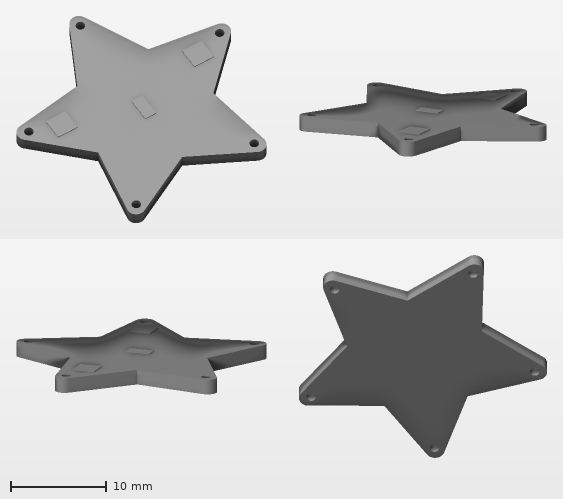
import cadquery as cq
import math

span_y = 26.25
total_height = 1.68
pad_thickness = 0.1
board_thickness = total_height - pad_thickness

point_count = 5
tip_radius = 1.0
notch_distance = 7.5
sector_angle = 360 / point_count
tip_center_distance = (span_y / 2 - tip_radius) / math.sin(math.radians(sector_angle))

hole_diameter = 1.0
hole_distance = 12.45

square_pad_side = 2.41
square_pad_x = -2.75
square_pad_y = 8.45
center_pad_length = 2.68
center_pad_width = 1.36


def polar(distance, angle):
    """Point at a distance from the star centre, with the angle in degrees."""
    return (distance * math.cos(math.radians(angle)), distance * math.sin(math.radians(angle)))


def tip_tangent_angle():
    """Angle, seen from a tip centre, between the tip axis and the point where a straight side begins."""
    half_sector = math.radians(sector_angle / 2)
    along = notch_distance * math.cos(half_sector) - tip_center_distance
    across = notch_distance * math.sin(half_sector)
    notch_direction = math.degrees(math.atan2(across, along))
    return notch_direction - math.degrees(math.acos(tip_radius / math.hypot(along, across)))


def tip_point(tip_angle, offset_angle):
    """Point on a rounded tip, turned from the tip axis by the offset angle."""
    center = polar(tip_center_distance, tip_angle)
    offset = polar(tip_radius, tip_angle + offset_angle)
    return (center[0] + offset[0], center[1] + offset[1])


tip_angles = [180 + i * sector_angle for i in range(point_count)]


def make_board():
    """Star plate with rounded tips and a through hole in each tip."""
    tangent = tip_tangent_angle()
    outline = cq.Workplane("XY").moveTo(*polar(notch_distance, tip_angles[0] - sector_angle / 2))
    for angle in tip_angles:
        outline = outline.lineTo(*tip_point(angle, -tangent))
        outline = outline.threePointArc(tip_point(angle, 0), tip_point(angle, tangent))
        if angle != tip_angles[-1]:
            outline = outline.lineTo(*polar(notch_distance, angle + sector_angle / 2))
    plate = outline.close().extrude(board_thickness)
    holes = (
        cq.Workplane("XY")
        .pushPoints([polar(hole_distance, angle) for angle in tip_angles])
        .circle(hole_diameter / 2)
        .extrude(board_thickness)
    )
    return plate.cut(holes)


def make_pad(length, width, x, y):
    """Thin rectangular pad lying on the top face of the board."""
    return (
        cq.Workplane("XY", origin=(x, y, board_thickness))
        .rect(length, width)
        .extrude(pad_thickness)
    )


board = make_board()
center_pad = make_pad(center_pad_length, center_pad_width, 0, 0)
square_pads = [
    make_pad(square_pad_side, square_pad_side, square_pad_x, side * square_pad_y)
    for side in (-1, 1)
]

result = cq.Compound.makeCompound(
    [board.val(), center_pad.val(), *[pad.val() for pad in square_pads]]
)